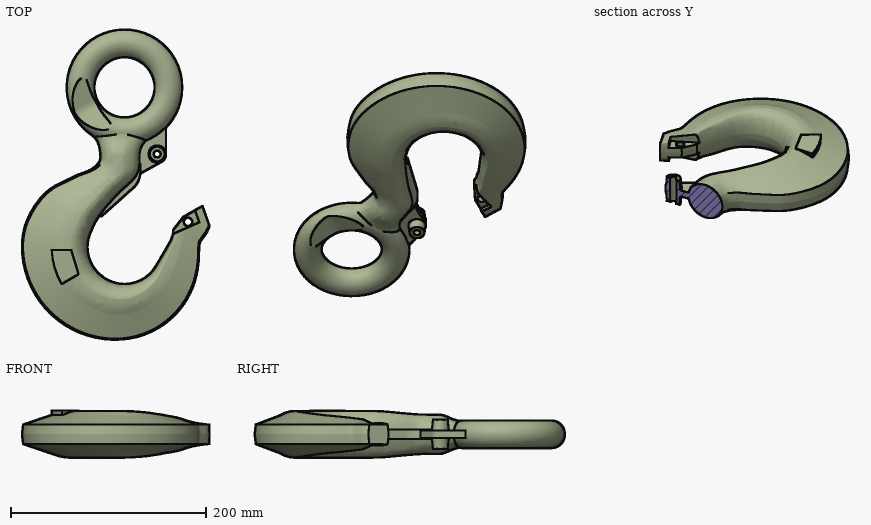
import math

import cadquery as cq

WIDTH = 192.31
LENGTH = 317.9
DEPTH = 48.59
BODY_HALF_DEPTH = 24.1

EYE_RADIUS = 45.0
EYE_BAR_RADIUS = 14.3
FLAT_ANGLE = 209.0
FLAT_TILT = 14.0
FLAT_VALLEY_Z = 6.9
FLAT_VALLEY_RADIUS = 18.0
FLAT_SPAN = 40.0

THROAT_RADIUS = 37.7
BACK_CENTER = (-9.2, 0.8)
BACK_RADIUS = 95.9
UPPER_BACK_RADIUS = 71.0
LOWER_BACK_RADIUS = 85.2

BAND_HALF_DEPTH = 10.0
BAND_DRAFT = 1.2

TIP_HALF_DEPTH = 10.4
TIP_POCKET_FLOOR_Z = 6.0
TIP_POCKET_OUTLINE = [(49.0, 13.0), (76.6, 25.3), (70.8, 41.5), (45.0, 35.0)]
TIP_HOLE_CENTER = (65.1, 25.7)
TIP_HOLE_RADIUS = 4.2

HUB_CENTER = (33.5, 95.2)
HUB_BASE_RADIUS = 9.2
HUB_TOP_RADIUS = 7.6
HUB_TOP_Z = 15.0
HUB_HOLE_RADIUS = 3.4
LUG_HALF_DEPTH = 4.0
LUG_TOP_Y = 121.0
LUG_FOOT = (16.3, 75.1)
WEB_HALF_DEPTH = 5.0
WEB_EDGE_RADIUS = 1.5
WEB_TOP_Y = 85.0
WEB_BEND = (13.6, 66.2)
WEB_BEND_END = (8.0, 59.5)
WEB_END = (-23.9, 31.0)
WEB_BURIED_END = (-32.0, 35.0)

PAD_OUTER_RADIUS = 74.6
PAD_INNER_RADIUS = 54.6
PAD_START_Y = -2.9
PAD_END_ANGLE = 210.6
PAD_BASE_Z = 15.0
PAD_TOP_Z = DEPTH - BODY_HALF_DEPTH

BACK_LEFT = BACK_CENTER[0] - BACK_RADIUS
BACK_BOTTOM = BACK_CENTER[1] - BACK_RADIUS
BACK_BOTTOM_ANGLE = 360 + math.degrees(math.atan2(BACK_BOTTOM, BACK_CENTER[0]))
EYE_CENTER_Y = BACK_BOTTOM + LENGTH - EYE_RADIUS - EYE_BAR_RADIUS
TIP_POINT = (BACK_LEFT + WIDTH, 21.4)
TIP_CORNER = (79.9, 42.1)


def polar(radius, degrees):
    angle = math.radians(degrees)
    return (radius * math.cos(angle), radius * math.sin(angle))


def back_point(degrees):
    """Point where a ray from the bowl centre meets the back of the hook."""
    ray_x, ray_y = polar(1.0, degrees)
    if ray_y > 0:
        center, radius = (BACK_LEFT + UPPER_BACK_RADIUS, BACK_CENTER[1]), UPPER_BACK_RADIUS
    elif degrees < BACK_BOTTOM_ANGLE:
        center, radius = BACK_CENTER, BACK_RADIUS
    else:
        center, radius = (BACK_CENTER[0], BACK_BOTTOM + LOWER_BACK_RADIUS), LOWER_BACK_RADIUS
    along = center[0] * ray_x + center[1] * ray_y
    across = center[0] * ray_y - center[1] * ray_x
    return polar(along + math.sqrt(radius**2 - across**2), degrees)


def hook_section(back, front, height, roundness=0.0, shoulder=(0.47, 0.85), crown=0.73):
    """Closed cross-section from the back point to the front point, symmetric about Z = 0.

    roundness 1 gives an ellipse and 0 the hook shape: a drafted rim band, a slope up to the
    shoulder, a gentle rise to the crown and a quarter ellipse down to the front.
    shoulder is (fraction of the width, fraction of the height); crown is a fraction of the width.
    """
    width = math.dist(back, front)
    shoulder_u, shoulder_z = shoulder[0], shoulder[1] * height
    band_u = BAND_DRAFT / width

    def mixed(hook_u, hook_z, ellipse_degrees):
        ellipse_x, ellipse_y = polar(0.5, 180 - ellipse_degrees)
        u = (1 - roundness) * hook_u + roundness * (0.5 + ellipse_x)
        z = (1 - roundness) * hook_z + roundness * 2 * ellipse_y * height
        return (back[0] + u * (front[0] - back[0]), back[1] + u * (front[1] - back[1]), z)

    band = [
        mixed(0, 0, 0),
        mixed(band_u / 2, BAND_HALF_DEPTH / 2, 15),
        mixed(band_u, BAND_HALF_DEPTH, 30),
    ]
    slope = [
        band[-1],
        mixed((band_u + shoulder_u) / 2, (BAND_HALF_DEPTH + shoulder_z) / 2, 48),
        mixed(shoulder_u, shoulder_z, 66),
    ]
    rise = [
        slope[-1],
        mixed((shoulder_u + crown) / 2, shoulder_z + 0.75 * (height - shoulder_z), 83),
        mixed(crown, height, 100),
    ]
    throat = [rise[-1]]
    for step in (0.25, 0.5, 0.75, 1.0):
        x, z = polar(1.0, 90 * (1 - step))
        throat.append(mixed(crown + (1 - crown) * x, height * z, 100 + 80 * step))

    upper = [band, slope, rise, throat]
    lower = [[(x, y, -z) for x, y, z in reversed(curve)] for curve in reversed(upper)]
    edges = []
    for curve in upper + lower:
        points = [cq.Vector(*point) for point in curve]
        parameters = [index / (len(points) - 1) for index in range(len(points))]
        edges.append(cq.Edge.makeSpline(points, parameters=parameters))
    return cq.Wire.assembleEdges(edges)


def make_eye():
    bar_top = (EYE_RADIUS, EYE_BAR_RADIUS)
    bar_bottom = (EYE_RADIUS, -EYE_BAR_RADIUS)
    eye = (
        cq.Workplane("XZ", origin=(0, EYE_CENTER_Y, 0))
        .moveTo(*bar_bottom)
        .threePointArc((EYE_RADIUS + EYE_BAR_RADIUS, 0), bar_top)
        .threePointArc((EYE_RADIUS - EYE_BAR_RADIUS, 0), bar_bottom)
        .close()
        .revolve(360, (0, 0, 0), (0, 1, 0), clean=False)
    )
    rise = FLAT_SPAN * math.tan(math.radians(FLAT_TILT))
    reach = EYE_RADIUS + 2 * EYE_BAR_RADIUS
    notch = (
        cq.Workplane("YZ")
        .moveTo(0, FLAT_VALLEY_Z)
        .lineTo(FLAT_SPAN, FLAT_VALLEY_Z + rise)
        .lineTo(-FLAT_SPAN, FLAT_VALLEY_Z + rise)
        .close()
        .extrude(reach)
        .edges("<Z")
        .fillet(FLAT_VALLEY_RADIUS)
        .rotate((0, 0, 0), (0, 0, 1), FLAT_ANGLE)
        .translate((0, EYE_CENTER_Y, 0))
    )
    return eye.cut(notch, clean=False).cut(notch.mirror("XY"), clean=False)


def make_body():
    shank = [
        hook_section((-36.5, 119.0), (35.0, 119.0), 12.3, 1.0),
        hook_section((-31.0, 112.5), (26.5, 112.5), 14.2, 1.0),
        hook_section((-27.0, 106.0), (20.0, 106.0), 16.4, 1.0),
        hook_section((-24.9, 95.2), (15.9, 95.2), 20.3, 1.0),
        hook_section((-26.2, 86.6), (15.5, 81.8), 20.3, 0.9),
        hook_section((-33.5, 79.9), (11.5, 71.6), 20.5, 0.6),
        hook_section((-46.0, 74.7), (-2.9, 57.8), 21.3, 0.3),
        hook_section((-56.5, 69.9), (-18.8, 40.6), 22.5, 0.1),
        hook_section((-74.9, 60.2), (-28.2, 28.2), 23.6),
    ]
    bowl_stations = [
        (157, BODY_HALF_DEPTH, (0.53, 0.90), 0.75),
        (168, BODY_HALF_DEPTH, (0.53, 0.90), 0.75),
        (180, BODY_HALF_DEPTH, (0.53, 0.90), 0.75),
        (195, BODY_HALF_DEPTH, (0.51, 0.88), 0.74),
        (210, BODY_HALF_DEPTH, (0.49, 0.86), 0.73),
        (225, BODY_HALF_DEPTH, (0.47, 0.84), 0.72),
        (240, BODY_HALF_DEPTH, (0.46, 0.82), 0.72),
        (255, BODY_HALF_DEPTH, (0.45, 0.81), 0.72),
        (270, 24.0, (0.45, 0.80), 0.72),
        (285, 23.3, (0.47, 0.82), 0.74),
        (300, 22.2, (0.50, 0.85), 0.77),
        (315, 20.8, (0.54, 0.88), 0.80),
        (333, 19.3, (0.57, 0.92), 0.83),
    ]
    bowl = []
    for angle, height, shoulder, crown in bowl_stations:
        front = polar(THROAT_RADIUS, angle)
        bowl.append(hook_section(back_point(angle), front, height, 0, shoulder, crown))
    arm = [
        hook_section((76.5, -8.2), (43.1, -0.6), 17.5, 0, (0.59, 0.94), 0.85),
        hook_section((78.0, 6.1), (49.8, 17.6), 15.5, 0, (0.60, 0.95), 0.86),
    ]
    body = cq.Solid.makeLoft(shank + bowl + arm)
    tip = [
        arm[-1],
        hook_section((84.3, 14.7), (60.3, 31.0), 12.8, 0, (0.6, 0.96), 0.88),
        hook_section(TIP_POINT, TIP_CORNER, TIP_HALF_DEPTH, 0, (0.6, 0.97), 0.92),
    ]
    return cq.Workplane(body).union(cq.Workplane(cq.Solid.makeLoft(tip, True)))


def make_pad():
    start_angle = 180 - math.degrees(math.asin(PAD_START_Y / PAD_OUTER_RADIUS))
    start_x = polar(PAD_OUTER_RADIUS, start_angle)[0]
    middle_angle = (start_angle + PAD_END_ANGLE) / 2
    return (
        cq.Workplane("XY", origin=(0, 0, PAD_BASE_Z))
        .moveTo(-PAD_INNER_RADIUS, PAD_START_Y)
        .lineTo(start_x, PAD_START_Y)
        .threePointArc(polar(PAD_OUTER_RADIUS, middle_angle), polar(PAD_OUTER_RADIUS, PAD_END_ANGLE))
        .lineTo(*polar(PAD_INNER_RADIUS, PAD_END_ANGLE))
        .close()
        .extrude(PAD_TOP_Z - PAD_BASE_Z)
    )


def hub_rim(degrees):
    x, y = polar(HUB_BASE_RADIUS, degrees)
    return (HUB_CENTER[0] + x, HUB_CENTER[1] + y)


def make_latch_mount():
    lug_right = HUB_CENTER[0] + HUB_BASE_RADIUS
    lug = (
        cq.Workplane("XY")
        .moveTo(0, LUG_TOP_Y)
        .lineTo(lug_right, LUG_TOP_Y)
        .lineTo(lug_right, HUB_CENTER[1])
        .threePointArc(hub_rim(-30), hub_rim(-60))
        .lineTo(*LUG_FOOT)
        .lineTo(0, LUG_FOOT[1])
        .close()
        .extrude(LUG_HALF_DEPTH, both=True)
    )
    web = (
        cq.Workplane("XY")
        .moveTo(0, WEB_TOP_Y)
        .lineTo(LUG_FOOT[0], WEB_TOP_Y)
        .lineTo(*LUG_FOOT)
        .threePointArc(WEB_BEND, WEB_BEND_END)
        .lineTo(*WEB_END)
        .lineTo(*WEB_BURIED_END)
        .close()
        .extrude(WEB_HALF_DEPTH, both=True)
        .faces("|Z")
        .edges()
        .fillet(WEB_EDGE_RADIUS)
    )
    hub = cq.Workplane("XY").circle(HUB_BASE_RADIUS).workplane(offset=HUB_TOP_Z)
    hub = hub.circle(HUB_TOP_RADIUS).loft().translate((*HUB_CENTER, 0))
    return lug.union(web).union(hub).union(hub.mirror("XY"))


def through_hole(center, radius):
    hole = cq.Workplane("XY").center(*center).circle(radius)
    return hole.extrude(BODY_HALF_DEPTH, both=True)


def make_tip_pocket():
    return (
        cq.Workplane("XY", origin=(0, 0, TIP_POCKET_FLOOR_Z))
        .polyline(TIP_POCKET_OUTLINE)
        .close()
        .extrude(BODY_HALF_DEPTH)
    )


pocket = make_tip_pocket()
result = (
    make_body()
    .union(make_eye(), clean=False)
    .union(make_pad(), clean=False)
    .union(make_latch_mount(), clean=False)
    .cut(pocket, clean=False)
    .cut(pocket.mirror("XY"), clean=False)
    .cut(through_hole(TIP_HOLE_CENTER, TIP_HOLE_RADIUS), clean=False)
    .cut(through_hole(HUB_CENTER, HUB_HOLE_RADIUS), clean=False)
)